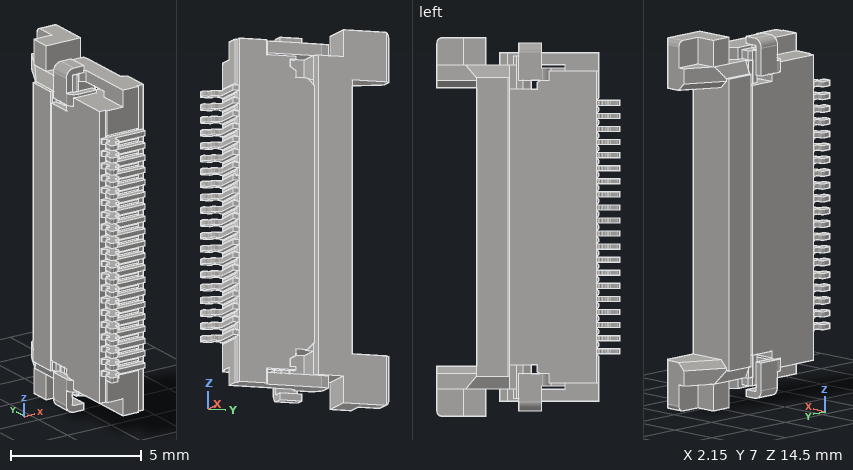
import cadquery as cq


COVER_X = 0.13
FLANGE_X = 2.15
CORE_BACK_X = 1.9
BODY_Y = 0.88
BODY_TOP_Y = 4.22
BODY_HALF_Z = 5.97
PAD_X = (0.4, 1.85)
PAD_Y = 0.8

EAR_HALF_Z = 6.67
EAR_INNER_Z = 6.2
EAR_X = 1.15
EAR_BUMP_X = 0.83
EAR_BUMP_Y = 3.54
EAR_SHOULDER_Y = 4.29
EAR_TOP_Y = 4.6
EAR_BUMP_CHAMFER = 0.2
EAR_TOP_CHAMFER = (0.05, 0.3)
EAR_ROOT_STEP = 0.13
SLOT_END_Y = 2.1
FLANGE_HALF_Z = 6.09
FLANGE_STEP_Y = 3.18
FLANGE_BEVEL_Y = 3.64
FLANGE_TOP_Y = 3.92

POCKET_Y = 3.16
POCKET_Z = 5.28
POCKET_BEVEL = (0.22, 0.15)

FLAP_TOP_Y = 5.48
FLAP_HALF_Z = 5.71
SLIDER_BACK_X = 2.07
SLIDER_CHAMFER = 0.15
SLIDER_BOTTOM_Y = 3.96
SLIDER_HALF_Z = 6.2
SLOPE_FOOT_X = 0.28
SLOPE_TIP_X = 1.06
ARM_X = 0.5
ARM_INNER_Z = 5.32
ARM_INNER_BEVEL = 0.29
ARM_TIP_Y = 7.0
ARM_HALF_Z = 7.25
ARM_BLOCK_Y = 5.12
ARM_NOTCH_X = 1.32
ARM_NOTCH_Y = 5.97
ARM_TIP_RADIUS = 0.22
TAB_HALF_Z = 6.55
TAB_X = 0.39
BASE_X = 0.35
TAB_TOP_Y = 4.07
TAB_STEP_Y = 3.7
TAB_TIP_Y = 3.38
TAB_TIP_X = 0.75
TAB_STEP_X = 0.61
TAB_CHAMFER = 0.12
SEAM = 0.06

SHEET = 0.28
CLIP_Y = (2.99, 3.87)
CLIP_TOP_Z = 7.05
CLIP_BOTTOM_Z = 5.61
CLIP_HOOK_X = 0.81
CLIP_BEND = 0.35
CLIP_FOOT_Y = 2.64
CLIP_FOOT_TOP_Z = 6.09
CLIP_FOOT_BEND = 0.32

PIN_COUNT = 20
PIN_PITCH = 0.5
PIN_WIDTH = 0.2
PIN_BACK_Y = 0.65
PIN_GROOVE_WIDTH = 0.4
PIN_HEAD_X = 0.19
PIN_BACK_X = 2.07
TAIL_X = (0.09, 0.44)
TAIL_Y = 0.45
TAIL_STEP_Y = 0.29
NECK_X = (0.35, 0.67)
NECK_TOP_Y = 0.68
TAIL_RADIUS = 0.09


def box(x_range, y_range, z_range):
    """Box given by its lower and upper limits on each axis."""
    (x0, x1), (y0, y1), (z0, z1) = x_range, y_range, z_range
    return cq.Workplane("XY").box(x1 - x0, y1 - y0, z1 - z0, centered=False).translate((x0, y0, z0))


def xy_prism(points, z_range):
    """XY outline extruded along Z between two levels."""
    z0, z1 = z_range
    return cq.Workplane("XY").workplane(offset=z0).polyline(points).close().extrude(z1 - z0)


def yz_prism(points, x_range):
    """YZ outline extruded along X between two levels."""
    x0, x1 = x_range
    return cq.Workplane("YZ").workplane(offset=x0).polyline(points).close().extrude(x1 - x0)


def xz_prism(points, y_range):
    """XZ outline extruded along Y between two levels."""
    y0, y1 = y_range
    return cq.Workplane("XZ").workplane(offset=-y1).polyline(points).close().extrude(y1 - y0)


def both_ends(end):
    """A feature of the +Z end together with its mirror image at the -Z end."""
    return end.union(end.mirror("XY"))


def pin_levels():
    """Z of the middle of every pin."""
    first = -PIN_PITCH * (PIN_COUNT - 1) / 2
    return [first + PIN_PITCH * i for i in range(PIN_COUNT)]


def ear():
    """Ear along the end of the housing, separated from the body by a slot."""
    outline = [
        (EAR_X, BODY_Y),
        (EAR_X, EAR_BUMP_Y - EAR_BUMP_CHAMFER),
        (EAR_X - EAR_BUMP_CHAMFER, EAR_BUMP_Y),
        (EAR_BUMP_X, EAR_BUMP_Y),
        (EAR_BUMP_X, EAR_SHOULDER_Y),
        (EAR_BUMP_X + EAR_TOP_Y - EAR_SHOULDER_Y, EAR_TOP_Y),
        (CORE_BACK_X - EAR_TOP_CHAMFER[0], EAR_TOP_Y),
        (CORE_BACK_X, EAR_TOP_Y - EAR_TOP_CHAMFER[1]),
        (CORE_BACK_X, BODY_Y),
    ]
    rail = xy_prism(outline, (EAR_INNER_Z, EAR_HALF_Z))
    root_outline = [
        (EAR_X, BODY_Y),
        (EAR_X, SLOT_END_Y),
        (CORE_BACK_X, SLOT_END_Y),
        (FLANGE_X, SLOT_END_Y - EAR_ROOT_STEP),
        (FLANGE_X, BODY_Y),
    ]
    root = xy_prism(root_outline, (0, EAR_HALF_Z))
    pad = box((EAR_X, PAD_X[1]), (PAD_Y, BODY_Y), (0, EAR_HALF_Z))
    return rail.union(root).union(pad)


def flange():
    """Half of the back flange, stepping down and then tapering towards the slider."""
    outline = [
        (BODY_Y, 0),
        (BODY_Y, FLANGE_HALF_Z),
        (FLANGE_STEP_Y, FLANGE_HALF_Z),
        (FLANGE_STEP_Y, POCKET_Z),
        (FLANGE_BEVEL_Y, POCKET_Z),
        (FLANGE_TOP_Y, POCKET_Z - (FLANGE_TOP_Y - FLANGE_BEVEL_Y)),
        (FLANGE_TOP_Y, 0),
    ]
    return yz_prism(outline, (CORE_BACK_X, FLANGE_X))


def clip_pocket():
    """Corner pocket that makes room for the clip, open through the thickness of the core."""
    outline = [
        (POCKET_Y, POCKET_Z),
        (POCKET_Y, CLIP_BOTTOM_Z - POCKET_BEVEL[1] / 2),
        (POCKET_Y - POCKET_BEVEL[0], CLIP_BOTTOM_Z + POCKET_BEVEL[1] / 2),
        (POCKET_Y - POCKET_BEVEL[0], BODY_HALF_Z),
        (BODY_TOP_Y, BODY_HALF_Z),
        (BODY_TOP_Y, POCKET_Z),
    ]
    return yz_prism(outline, (COVER_X, FLANGE_X))


def pin_groove():
    """Tapered groove across the pad that seats one pin."""
    outline = [
        (PAD_Y, -PIN_GROOVE_WIDTH / 2),
        (BODY_Y, -PIN_WIDTH / 2),
        (BODY_Y, PIN_WIDTH / 2),
        (PAD_Y, PIN_GROOVE_WIDTH / 2),
    ]
    return yz_prism(outline, PAD_X)


def housing():
    half_length = (-BODY_HALF_Z, BODY_HALF_Z)
    core = box((COVER_X, CORE_BACK_X), (BODY_Y, BODY_TOP_Y), half_length)
    pad = box(PAD_X, (PAD_Y, BODY_Y), half_length)
    body = core.union(pad).union(both_ends(flange()))
    body = body.cut(both_ends(clip_pocket())).union(both_ends(ear()))
    groove = pin_groove()
    for z in pin_levels():
        body = body.cut(groove.translate((0, 0, z)))
    tunnel = box((EAR_BUMP_X, EAR_X), (POCKET_Y, EAR_BUMP_Y), half_length)
    return body.cut(tunnel)


def slider_arm():
    """Arm at the +Z end: sloped front, tapered shoulder beside the flap, raised end block."""
    outline = [
        (SLOPE_FOOT_X, BODY_TOP_Y),
        (SLOPE_FOOT_X, FLAP_TOP_Y),
        (SLOPE_TIP_X, ARM_TIP_Y),
        (SLIDER_BACK_X - SLIDER_CHAMFER, ARM_TIP_Y),
        (SLIDER_BACK_X, ARM_TIP_Y - SLIDER_CHAMFER),
        (SLIDER_BACK_X, BODY_TOP_Y),
    ]
    lower = xy_prism(outline, (ARM_INNER_Z, SLIDER_HALF_Z))
    shoulder = [
        (SLOPE_FOOT_X, FLAP_HALF_Z),
        (ARM_X, SLIDER_HALF_Z),
        (SLOPE_FOOT_X, SLIDER_HALF_Z),
    ]
    lower = lower.cut(xz_prism(shoulder, (BODY_TOP_Y, ARM_NOTCH_Y)))

    slope_run = cq.Workplane("XY").moveTo(SLOPE_FOOT_X, FLAP_TOP_Y).lineTo(SLOPE_TIP_X, ARM_TIP_Y)
    bevel = (
        cq.Workplane("XZ", origin=(0, FLAP_TOP_Y, 0))
        .polyline([
            (SLOPE_FOOT_X, ARM_INNER_Z),
            (SLOPE_FOOT_X, ARM_INNER_Z + ARM_INNER_BEVEL),
            (SLOPE_FOOT_X + ARM_INNER_BEVEL, ARM_INNER_Z),
        ])
        .close()
        .sweep(slope_run)
    )
    lower = lower.cut(bevel)

    block_outline = [
        (ARM_X, ARM_BLOCK_Y),
        (ARM_X, ARM_NOTCH_Y),
        (ARM_NOTCH_X, ARM_NOTCH_Y),
        (ARM_NOTCH_X, ARM_TIP_Y),
        (SLIDER_BACK_X - SLIDER_CHAMFER, ARM_TIP_Y),
        (SLIDER_BACK_X, ARM_TIP_Y - SLIDER_CHAMFER),
        (SLIDER_BACK_X, ARM_BLOCK_Y),
    ]
    block = xy_prism(block_outline, (SLIDER_HALF_Z, ARM_HALF_Z))
    block = block.faces(">Z").edges(">Y").fillet(ARM_TIP_RADIUS)
    return lower.union(block)


def slider_tab():
    """Locking tab of the slider behind the clip."""
    outline = [
        (TAB_X, TAB_STEP_Y),
        (TAB_X, TAB_TOP_Y - TAB_CHAMFER),
        (TAB_X + TAB_CHAMFER, TAB_TOP_Y),
        (EAR_BUMP_X, TAB_TOP_Y),
        (EAR_BUMP_X, TAB_TIP_Y),
        (TAB_TIP_X, TAB_TIP_Y),
        (TAB_STEP_X, TAB_STEP_Y),
    ]
    return xy_prism(outline, (POCKET_Z, TAB_HALF_Z))


def slider():
    flap = box((COVER_X, SLIDER_BACK_X), (BODY_TOP_Y, FLAP_TOP_Y), (-FLAP_HALF_Z, FLAP_HALF_Z))
    groove = box((COVER_X, COVER_X + SEAM), (BODY_TOP_Y, BODY_TOP_Y + SEAM), (-FLAP_HALF_Z, FLAP_HALF_Z))
    foot = [
        (BASE_X, BODY_TOP_Y),
        (SLIDER_BACK_X, BODY_TOP_Y),
        (SLIDER_BACK_X, SLIDER_BOTTOM_Y + SLIDER_CHAMFER),
        (SLIDER_BACK_X - SLIDER_CHAMFER, SLIDER_BOTTOM_Y),
        (BASE_X, SLIDER_BOTTOM_Y),
    ]
    base = xy_prism(foot, (-SLIDER_HALF_Z, SLIDER_HALF_Z))
    ends = slider_arm().union(slider_tab())
    return flap.cut(groove).union(base).union(both_ends(ends))


def clip():
    """Bent sheet clip: hook over the ear and a foot turned into the housing."""
    hook = box((0, CLIP_HOOK_X), CLIP_Y, (CLIP_BOTTOM_Z, CLIP_TOP_Z))
    hook = hook.edges("<X and >Z").fillet(CLIP_BEND)
    inside = box((SHEET, CLIP_HOOK_X), CLIP_Y, (CLIP_BOTTOM_Z, CLIP_TOP_Z - SHEET))
    inside = inside.edges("<X and >Z").fillet(CLIP_BEND - SHEET)

    foot = box((0, EAR_X), (CLIP_FOOT_Y, CLIP_FOOT_Y + SHEET), (CLIP_BOTTOM_Z, CLIP_FOOT_TOP_Z))
    link = box((0, SHEET), (CLIP_FOOT_Y, CLIP_Y[0]), (CLIP_BOTTOM_Z, CLIP_FOOT_TOP_Z))
    foot = foot.union(link).edges("<X and <Y").fillet(CLIP_FOOT_BEND)
    return hook.cut(inside).union(foot)


def pin():
    """Pin lying across the pad, with a cranked and rounded solder tail, centred on Z = 0."""
    outline = [
        (PIN_HEAD_X, BODY_Y),
        (PIN_HEAD_X, PAD_Y),
        (NECK_X[0], NECK_TOP_Y),
        (NECK_X[0], TAIL_Y),
        (TAIL_X[0], TAIL_Y),
        (TAIL_X[0], 0),
        (TAIL_X[1], 0),
        (TAIL_X[1], TAIL_STEP_Y),
        (NECK_X[1], TAIL_STEP_Y),
        (NECK_X[1], PIN_BACK_Y),
        (PIN_BACK_X, PIN_BACK_Y),
        (PIN_BACK_X, BODY_Y),
    ]
    blank = xy_prism(outline, (-PIN_WIDTH / 2, PIN_WIDTH / 2))
    tail_low = (0, -PIN_WIDTH, -PIN_WIDTH)
    tail_high = (NECK_X[1] + TAIL_RADIUS, (PIN_BACK_Y + NECK_TOP_Y) / 2, PIN_WIDTH)
    tail_region = cq.selectors.BoxSelector(tail_low, tail_high)
    return blank.edges("|Z").edges(tail_region).fillet(TAIL_RADIUS)


result = housing().union(slider()).union(both_ends(clip()))
one_pin = pin()
for pin_z in pin_levels():
    result = result.union(one_pin.translate((0, 0, pin_z)))